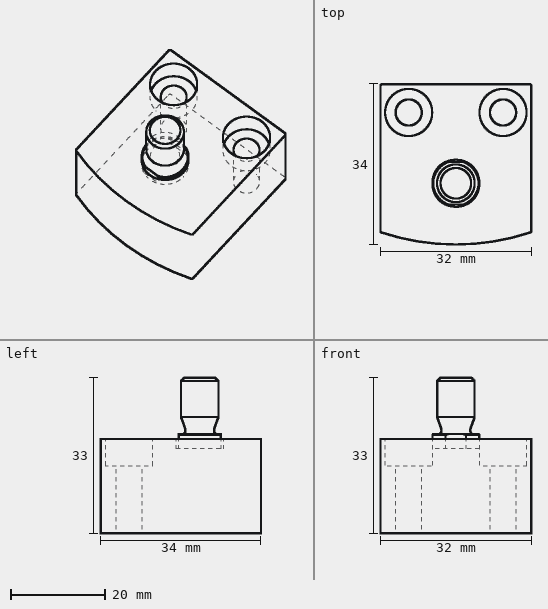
import cadquery as cq
import math

BLOCK_WIDTH = 32.0
BLOCK_LENGTH = 34.0
BLOCK_HEIGHT = 20.0
FRONT_RADIUS = 50.0
CORNER_RADIUS = 0.4

SCREW_SPACING = 20.0
SCREW_BACK_MARGIN = 6.0
SCREW_DIAMETER = 5.5
COUNTERBORE_DIAMETER = 10.0
COUNTERBORE_DEPTH = 5.7

PIN_TO_SCREWS = 15.0
SEAT_DEPTH = 2.0
FLANGE_DIAMETER = 10.0
FLANGE_RISE = 1.0
FLANGE_CHAMFER = 0.2
FLANGE_FLATS = 9.0
NECK_DIAMETER = 6.2
NECK_BASE_FILLET = 0.6
NECK_CONE_FILLET = 0.5
CONE_HALF_ANGLE = math.radians(20)
HEAD_DIAMETER = 8.0
HEAD_LENGTH = 8.4
HEAD_CHAMFER = 0.75
PIN_RISE = 13.0

back_y = PIN_TO_SCREWS + SCREW_BACK_MARGIN
front_y = back_y - BLOCK_LENGTH
half_width = BLOCK_WIDTH / 2
front_bow = FRONT_RADIUS - math.sqrt(FRONT_RADIUS**2 - half_width**2)
front_corner_y = front_y + front_bow


def make_block():
    body = (
        cq.Workplane("XY")
        .moveTo(-half_width, back_y)
        .lineTo(-half_width, front_corner_y)
        .threePointArc((0, front_y), (half_width, front_corner_y))
        .lineTo(half_width, back_y)
        .close()
        .extrude(BLOCK_HEIGHT)
        .edges("|Z")
        .fillet(CORNER_RADIUS)
    )
    screw_points = [(side * SCREW_SPACING / 2, PIN_TO_SCREWS) for side in (-1, 1)]
    top_plane = cq.Workplane("XY", origin=(0, 0, BLOCK_HEIGHT))
    screw_holes = top_plane.pushPoints(screw_points).circle(SCREW_DIAMETER / 2).extrude(-BLOCK_HEIGHT)
    counterbores = (
        top_plane.pushPoints(screw_points).circle(COUNTERBORE_DIAMETER / 2).extrude(-COUNTERBORE_DEPTH)
    )
    pin_seat = top_plane.circle(FLANGE_DIAMETER / 2).extrude(-SEAT_DEPTH)
    return body.cut(screw_holes).cut(counterbores).cut(pin_seat)


def make_pin():
    flange_radius = FLANGE_DIAMETER / 2
    neck_radius = NECK_DIAMETER / 2
    head_radius = HEAD_DIAMETER / 2

    pin_bottom = BLOCK_HEIGHT - SEAT_DEPTH
    flange_top = BLOCK_HEIGHT + FLANGE_RISE
    pin_top = BLOCK_HEIGHT + PIN_RISE
    cone_top = pin_top - HEAD_LENGTH
    cone_bottom = cone_top - (head_radius - neck_radius) / math.tan(CONE_HALF_ANGLE)

    tangent_length = NECK_CONE_FILLET * math.tan(CONE_HALF_ANGLE / 2)
    rounding_center_r = neck_radius + NECK_CONE_FILLET
    rounding_start_z = cone_bottom - tangent_length

    def rounding_point(angle):
        r = rounding_center_r - NECK_CONE_FILLET * math.cos(angle)
        z = rounding_start_z + NECK_CONE_FILLET * math.sin(angle)
        return (r, z)

    base_center_r = neck_radius + NECK_BASE_FILLET
    base_center_z = flange_top + NECK_BASE_FILLET
    base_offset = NECK_BASE_FILLET * math.sqrt(0.5)

    turned = (
        cq.Workplane("XZ")
        .moveTo(0, pin_bottom)
        .lineTo(flange_radius, pin_bottom)
        .lineTo(flange_radius, flange_top - FLANGE_CHAMFER)
        .lineTo(flange_radius - FLANGE_CHAMFER, flange_top)
        .lineTo(base_center_r, flange_top)
        .threePointArc(
            (base_center_r - base_offset, base_center_z - base_offset),
            (neck_radius, base_center_z),
        )
        .lineTo(neck_radius, rounding_start_z)
        .threePointArc(rounding_point(CONE_HALF_ANGLE / 2), rounding_point(CONE_HALF_ANGLE))
        .lineTo(head_radius, cone_top)
        .lineTo(head_radius, pin_top - HEAD_CHAMFER)
        .lineTo(head_radius - HEAD_CHAMFER, pin_top)
        .lineTo(0, pin_top)
        .close()
        .revolve(360, (0, 0, 0), (0, 1, 0))
    )
    flats_envelope = (
        cq.Workplane("XY", origin=(0, 0, pin_bottom))
        .rect(FLANGE_DIAMETER, FLANGE_FLATS)
        .extrude(pin_top - pin_bottom)
    )
    return turned.intersect(flats_envelope)


block = make_block()
pin = make_pin()

result = cq.Compound.makeCompound([block.val(), pin.val()])